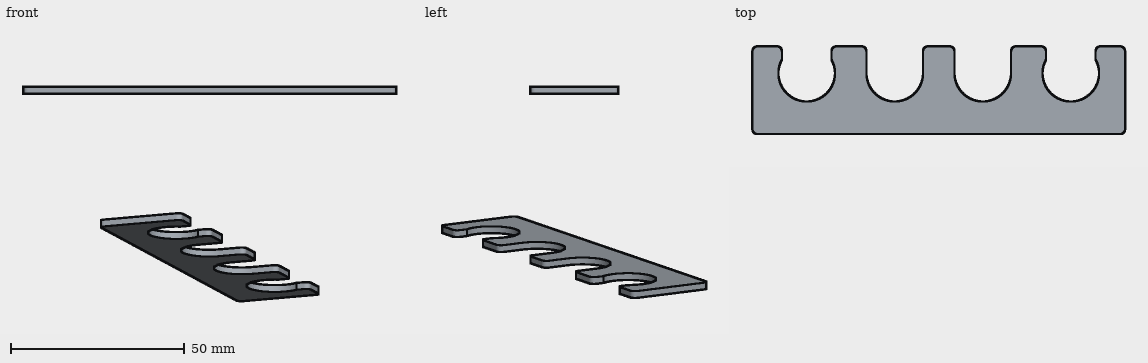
import cadquery as cq

length = 107.7
width = 25.4
thickness = 2.0
corner_radius = 1.5

notch_pitch = 25.4
notch_count = 4

notch_diameter = 16.3
notch_radius = notch_diameter / 2
notch_depth = 15.9
neck_width = 14.2

top_edge = width / 2
seat_y = top_edge - notch_depth + notch_radius


def notch_cutter(center_x, mouth_width):
    """Round seat with a straight mouth opening through the +Y edge."""
    mouth_length = top_edge - seat_y
    seat = cq.Workplane("XY").center(center_x, seat_y).circle(notch_radius).extrude(thickness)
    mouth = (
        cq.Workplane("XY")
        .center(center_x, seat_y + mouth_length / 2)
        .rect(mouth_width, mouth_length)
        .extrude(thickness)
    )
    return seat.union(mouth)


result = cq.Workplane("XY").rect(length, width).extrude(thickness)

for index in range(notch_count):
    is_end_notch = index in (0, notch_count - 1)
    mouth_width = neck_width if is_end_notch else notch_diameter
    center_x = (index - (notch_count - 1) / 2) * notch_pitch
    result = result.cut(notch_cutter(center_x, mouth_width))

result = result.faces("<Y or >Y").edges("|Z").fillet(corner_radius)